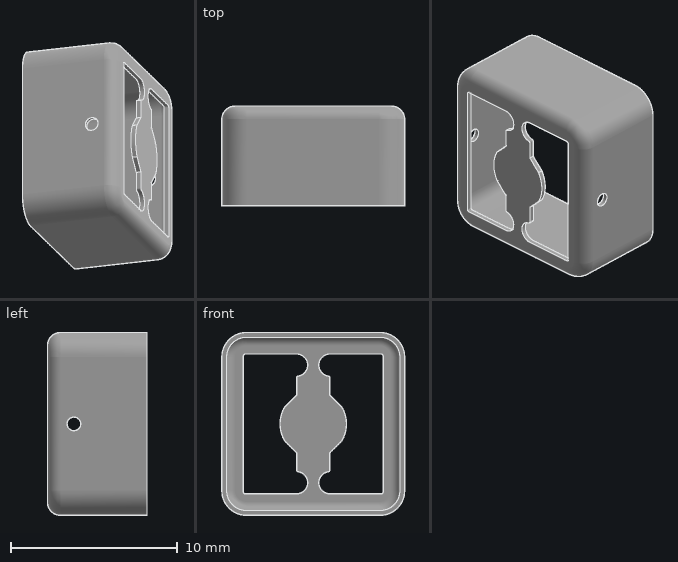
import cadquery as cq
import math

side = 11.0
depth = 6.0
wall = 0.3
corner_radius = 1.5
back_edge_radius = 0.8
inner_edge_radius = back_edge_radius - wall

window_side = 8.38
window_corner_radius = 0.11
web_half_width = 1.0
disc_radius = 2.0
flat_end_height = 1.01
neck_half_width = 0.34
notch_radius = web_half_width - neck_half_width
web_corner_radius = 0.11

pin_hole_diameter = 0.8
pin_hole_from_back = 1.6

back_y = depth / 2


def rounded_block(width, length, vertical_radius, back_radius, end_y):
    """Square block along Y whose rounded back face lies at end_y."""
    block = cq.Workplane("XZ", origin=(0, end_y, 0)).rect(width, width).extrude(length)
    return block.edges("|Y").fillet(vertical_radius).faces(">Y").edges().fillet(back_radius)


def back_prism(sketch):
    """Extrude a closed XZ outline through the back wall."""
    return sketch.extrude(wall)


def back_plane():
    return cq.Workplane("XZ", origin=(0, back_y, 0))


def make_web():
    """Web with a central disc, flattened shoulders and a narrow neck at each end."""
    half_window = window_side / 2
    notch_z = half_window - notch_radius
    shoulder_z = math.sqrt(disc_radius**2 - web_half_width**2)
    flat_end_x = math.sqrt(disc_radius**2 - flat_end_height**2)
    outline = (
        back_plane()
        .moveTo(-web_half_width, half_window)
        .lineTo(web_half_width, half_window)
        .lineTo(web_half_width, shoulder_z)
        .lineTo(flat_end_x, flat_end_height)
        .threePointArc((disc_radius, 0), (flat_end_x, -flat_end_height))
        .lineTo(web_half_width, -shoulder_z)
        .lineTo(web_half_width, -half_window)
        .lineTo(-web_half_width, -half_window)
        .lineTo(-web_half_width, -shoulder_z)
        .lineTo(-flat_end_x, -flat_end_height)
        .threePointArc((-disc_radius, 0), (-flat_end_x, flat_end_height))
        .lineTo(-web_half_width, shoulder_z)
        .close()
    )
    notch_centers = [(x, z) for x in (-web_half_width, web_half_width) for z in (-notch_z, notch_z)]
    notches = back_prism(back_plane().pushPoints(notch_centers).circle(notch_radius))
    web = back_prism(outline).cut(notches)

    corner_z = notch_z - notch_radius
    for x, z in notch_centers:
        corner = (x, back_y - wall / 2, math.copysign(corner_z, z))
        web = web.edges(cq.selectors.NearestToPointSelector(corner)).fillet(web_corner_radius)
    return web


def make_window():
    opening = back_prism(back_plane().rect(window_side, window_side))
    return opening.edges("|Y").fillet(window_corner_radius).cut(make_web())


def make_pin_holes():
    hole_y = back_y - pin_hole_from_back
    return (
        cq.Workplane("YZ", origin=(0, hole_y, 0))
        .circle(pin_hole_diameter / 2)
        .extrude(side / 2, both=True)
    )


outer = rounded_block(side, depth, corner_radius, back_edge_radius, back_y)
cavity = rounded_block(
    side - 2 * wall, depth - wall, corner_radius - wall, inner_edge_radius, back_y - wall
)
shell = outer.cut(cavity)
result = shell.cut(make_window()).cut(make_pin_holes())